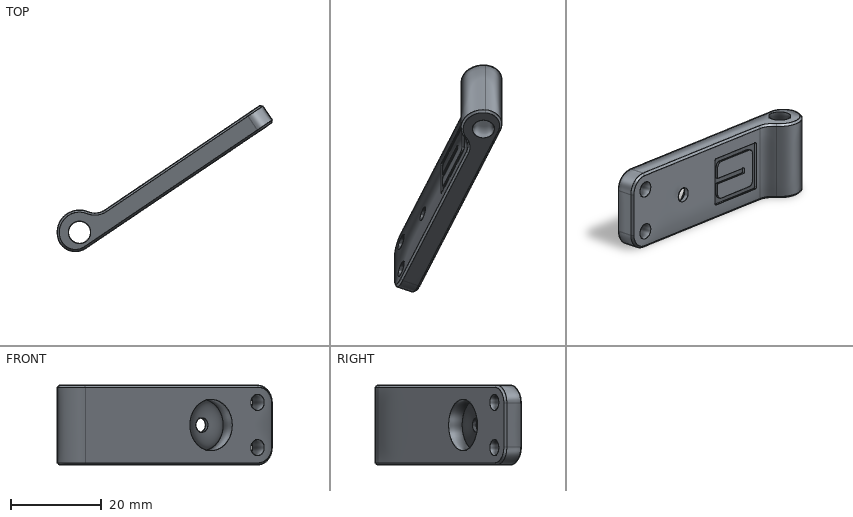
import cadquery as cq
import math

HEIGHT = 17.6
ARM_ANGLE = 34.0
ARM_END = 49.1
FRONT_V = -3.7
THICKNESS = 4.65
BACK_V = FRONT_V + THICKNESS
HUB_RADIUS = 4.95
BORE_DIAMETER = 4.85
BLEND_RADIUS = 4.0
CHAMFER = 0.47

END_HOLE_DIAMETER = 3.5
END_HOLE_INSET = 4.2
END_HOLE_SPACING = 9.95
CENTER_HOLE_DIAMETER = 3.2
COUNTERBORE_DIAMETER = 11.3
COUNTERBORE_DEPTH = 3.6
CENTER_HOLE_U = 32.5

RECESS_START_U = 8.7
RECESS_LENGTH = 13.45
RECESS_HEIGHT = 11.0
RECESS_DEPTH = 0.47
RECESS_CORNER_RADIUS = 0.4
RECESS_CENTER_Z = -0.1
PAD_START_U = 9.9
PAD_LENGTH = 11.4
PAD_HEIGHT = 8.75
PAD_CORNER_RADIUS = 1.2
PAD_SLOT_LENGTH = 8.7
PAD_SLOT_HEIGHT = 1.3
PAD_SLOT_CORNER_RADIUS = 0.2

HUB_X = 4.95
HUB_Y = 4.25


def arm_and_hub():
    """Hub and arm in one outline, with rounded end corners and a chamfered rim."""
    back_center_v = BACK_V + BLEND_RADIUS
    back_center_u = math.sqrt((HUB_RADIUS + BLEND_RADIUS) ** 2 - back_center_v**2)
    back_ratio = HUB_RADIUS / (HUB_RADIUS + BLEND_RADIUS)
    hub_back = (back_center_u * back_ratio, back_center_v * back_ratio)
    arm_back = (back_center_u, BACK_V)

    front_center_v = FRONT_V + BLEND_RADIUS
    front_reach = HUB_RADIUS - BLEND_RADIUS
    front_center_u = -math.sqrt(front_reach**2 - front_center_v**2)
    front_ratio = HUB_RADIUS / front_reach
    hub_front = (front_center_u * front_ratio, front_center_v * front_ratio)
    arm_front = (front_center_u, FRONT_V)

    def arc_middle(center, start, end, radius):
        """Point halfway along the short arc from start to end."""
        du = start[0] + end[0] - 2 * center[0]
        dv = start[1] + end[1] - 2 * center[1]
        scale = radius / math.hypot(du, dv)
        return (center[0] + du * scale, center[1] + dv * scale)

    hub_middle = arc_middle((0, 0), hub_back, hub_front, HUB_RADIUS)
    back_middle = arc_middle((back_center_u, back_center_v), arm_back, hub_back, BLEND_RADIUS)
    front_middle = arc_middle((front_center_u, front_center_v), hub_front, arm_front, BLEND_RADIUS)

    body = (
        cq.Workplane("XY")
        .moveTo(*arm_front)
        .lineTo(ARM_END, FRONT_V)
        .lineTo(ARM_END, BACK_V)
        .lineTo(*arm_back)
        .threePointArc(back_middle, hub_back)
        .threePointArc(hub_middle, hub_front)
        .threePointArc(front_middle, arm_front)
        .close()
        .extrude(HEIGHT / 2, both=True)
    )
    body = body.faces(">X").edges("|Y").fillet(BLEND_RADIUS)
    return body.faces(">X").edges("|Z").chamfer(CHAMFER)


def cylinder_across(diameter, u, z, start_v, length):
    """Cylinder starting at start_v and running toward +V."""
    axis_start = cq.Vector(u, start_v, z)
    return cq.Workplane(cq.Solid.makeCylinder(diameter / 2, length, axis_start, cq.Vector(0, 1, 0)))


def back_block(start_u, length, height):
    """Block reaching from the back face down to the recess floor."""
    return (
        cq.Workplane("XY")
        .box(length, RECESS_DEPTH, height, centered=(False, False, True))
        .translate((start_u, BACK_V - RECESS_DEPTH, RECESS_CENTER_Z))
    )


def slotted_pad():
    """Rounded pad with a slot open toward the free end of the arm."""
    pad = back_block(PAD_START_U, PAD_LENGTH, PAD_HEIGHT).edges("|Y").fillet(PAD_CORNER_RADIUS)
    slot_start_u = PAD_START_U + PAD_LENGTH - PAD_SLOT_LENGTH
    slot = back_block(slot_start_u, PAD_SLOT_LENGTH, PAD_SLOT_HEIGHT)
    slot = slot.faces("<X").edges("|Y").fillet(PAD_SLOT_CORNER_RADIUS)
    return pad.cut(slot)


part = arm_and_hub()
part = part.cut(cq.Workplane("XY").circle(BORE_DIAMETER / 2).extrude(HEIGHT / 2, both=True))

for side in (-1, 1):
    hole_z = side * END_HOLE_SPACING / 2
    part = part.cut(
        cylinder_across(END_HOLE_DIAMETER, ARM_END - END_HOLE_INSET, hole_z, FRONT_V, THICKNESS)
    )
part = part.cut(cylinder_across(CENTER_HOLE_DIAMETER, CENTER_HOLE_U, 0, FRONT_V, THICKNESS))
part = part.cut(cylinder_across(COUNTERBORE_DIAMETER, CENTER_HOLE_U, 0, FRONT_V, COUNTERBORE_DEPTH))

recess = back_block(RECESS_START_U, RECESS_LENGTH, RECESS_HEIGHT).edges("|Y").fillet(RECESS_CORNER_RADIUS)
part = part.cut(recess.cut(slotted_pad()))

result = part.rotate((0, 0, 0), (0, 0, 1), ARM_ANGLE).translate((HUB_X, HUB_Y, HEIGHT / 2))